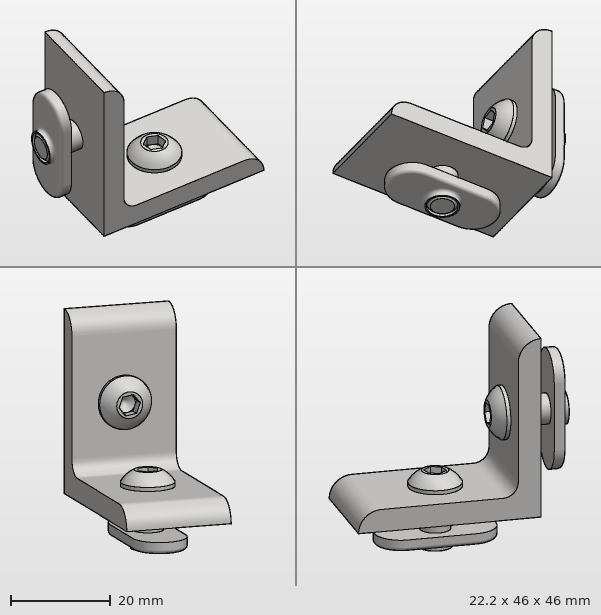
import cadquery as cq
import math


overall_length = 46.05
bracket_width = 22.25
leg_length = 38.05
leg_thickness = 4.75
inner_corner_radius = 3.18
tip_radius = leg_thickness

shank_radius = 3.18
shank_tip_chamfer = 0.75
head_radius = 5.52
head_height = 3.3
head_rim_height = 0.85
head_flat_radius = 2.75
socket_across_flats = 3.95
socket_depth = 2.2
socket_sides = 6
socket_turn = 9.5
socket_cone_angle = 118.0

nut_length = 25.4
nut_width = 11.2
nut_thickness = 2.45
nut_edge_radius = 0.8
collar_radius = 3.5
collar_height = 1.3
collar_fillet = 0.75

fastener_position = leg_length / 2
collar_end = leg_length - overall_length
nut_outer_face = collar_end + collar_height


def on_bottom_leg(body):
    """Move a body built along Z at the origin to the middle of the horizontal leg."""
    return body.translate((0, fastener_position, 0))


def on_upright_leg(body):
    """Turn a body built along Z so that it points along +Y in the upright leg."""
    turned = body.rotate((0, 0, 0), (1, 0, 0), -90)
    return turned.translate((0, 0, fastener_position))


leg_placements = (on_bottom_leg, on_upright_leg)


def make_bracket():
    """L-profile with rounded leg tips, a filleted inner corner and a bolt hole in each leg."""
    straight_end = leg_length - tip_radius
    profile = (
        cq.Workplane("YZ", origin=(-bracket_width / 2, 0, 0))
        .lineTo(leg_length, 0)
        .radiusArc((straight_end, leg_thickness), -tip_radius)
        .lineTo(leg_thickness + inner_corner_radius, leg_thickness)
        .radiusArc((leg_thickness, leg_thickness + inner_corner_radius), inner_corner_radius)
        .lineTo(leg_thickness, straight_end)
        .radiusArc((0, leg_length), -tip_radius)
        .close()
    )
    bracket = profile.extrude(bracket_width)
    hole = cq.Workplane("XY").circle(shank_radius).extrude(leg_thickness)
    for place in leg_placements:
        bracket = bracket.cut(place(hole))
    return bracket


def make_socket():
    """Hexagonal socket with a drilled cone at its bottom, open at the top of the head."""
    head_top = leg_thickness + head_height
    socket_floor = head_top - socket_depth
    across_corners = socket_across_flats / math.cos(math.pi / socket_sides)
    cone_radius = socket_across_flats / 2
    cone_depth = cone_radius / math.tan(math.radians(socket_cone_angle / 2))
    hexagon = (
        cq.Workplane("XY", origin=(0, 0, socket_floor))
        .polygon(socket_sides, across_corners)
        .extrude(socket_depth)
        .rotate((0, 0, 0), (0, 0, 1), socket_turn)
    )
    cone = (
        cq.Workplane("XZ", origin=(0, 0, socket_floor))
        .lineTo(cone_radius, 0)
        .lineTo(0, -cone_depth)
        .close()
        .revolve(360, (0, 0, 0), (0, 1, 0))
    )
    return hexagon.union(cone)


def make_bolt():
    """Button-head bolt whose head sits on the inner face of a leg."""
    rim_top = leg_thickness + head_rim_height
    head_top = leg_thickness + head_height
    dome_height = head_top - rim_top
    dome_center = (head_top + rim_top) / 2 - (head_radius**2 - head_flat_radius**2) / (2 * dome_height)
    dome_radius = math.hypot(head_radius, rim_top - dome_center)
    solid_bolt = (
        cq.Workplane("XZ")
        .moveTo(0, collar_end)
        .lineTo(shank_radius - shank_tip_chamfer, collar_end)
        .lineTo(shank_radius, collar_end + shank_tip_chamfer)
        .lineTo(shank_radius, leg_thickness)
        .lineTo(head_radius, leg_thickness)
        .lineTo(head_radius, rim_top)
        .radiusArc((head_flat_radius, head_top), -dome_radius)
        .lineTo(0, head_top)
        .close()
        .revolve(360, (0, 0, 0), (0, 1, 0))
    )
    return solid_bolt.cut(make_socket())


def make_nut():
    """Round-ended plate with a rounded outer edge and a collar that flares into the plate."""
    plate = (
        cq.Workplane("XY", origin=(0, 0, nut_outer_face))
        .slot2D(nut_length, nut_width, 90)
        .extrude(nut_thickness)
        .faces("<Z")
        .edges()
        .fillet(nut_edge_radius)
    )
    flare_radius = collar_radius + collar_fillet
    collar = (
        cq.Workplane("XZ")
        .moveTo(0, collar_end)
        .lineTo(collar_radius, collar_end)
        .lineTo(collar_radius, nut_outer_face - collar_fillet)
        .radiusArc((flare_radius, nut_outer_face), collar_fillet)
        .lineTo(0, nut_outer_face)
        .close()
        .revolve(360, (0, 0, 0), (0, 1, 0))
    )
    hole = (
        cq.Workplane("XY", origin=(0, 0, collar_end))
        .circle(shank_radius)
        .extrude(collar_height + nut_thickness)
    )
    return plate.union(collar).cut(hole)


bracket = make_bracket()
bolts = [place(make_bolt()) for place in leg_placements]
nuts = [place(make_nut()) for place in leg_placements]

result = cq.Compound.makeCompound(
    [bracket.val()] + [bolt.val() for bolt in bolts] + [nut.val() for nut in nuts]
)